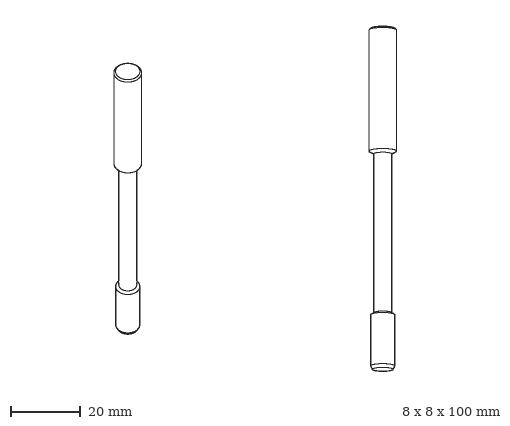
import cadquery as cq

TOTAL_LENGTH = 100.0

HEAD_DIAMETER = 7.0
HEAD_LENGTH = 16.6
LEAD_WIDTH = 0.5
LEAD_HEIGHT = 1.0
HEAD_SHOULDER_HEIGHT = 0.6

SHANK_DIAMETER = 8.0
SHANK_LENGTH = 36.8
SHANK_CHAMFER_WIDTH = 0.5
SHANK_CHAMFER_HEIGHT = 0.5
SHANK_SHOULDER_HEIGHT = 0.8
NECK_DIAMETER = 5.2

HEAD_RADIUS = HEAD_DIAMETER / 2
SHANK_RADIUS = SHANK_DIAMETER / 2
NECK_RADIUS = NECK_DIAMETER / 2
SHANK_BASE = TOTAL_LENGTH - SHANK_LENGTH


def revolve_profile(points):
    """Turn a closed (radius, height) outline around the Z axis."""
    return cq.Workplane("XZ").polyline(points).close().revolve(360, (0, 0), (0, 1))


def make_cutting_head():
    """Cylindrical head with a lead chamfer below and a conical shoulder above."""
    return revolve_profile([
        (0, 0),
        (HEAD_RADIUS - LEAD_WIDTH, 0),
        (HEAD_RADIUS, LEAD_HEIGHT),
        (HEAD_RADIUS, HEAD_LENGTH - HEAD_SHOULDER_HEIGHT),
        (NECK_RADIUS, HEAD_LENGTH),
        (0, HEAD_LENGTH),
    ])


def make_shank():
    """Neck standing on the head, widening through a cone into the shank."""
    return revolve_profile([
        (0, HEAD_LENGTH),
        (NECK_RADIUS, HEAD_LENGTH),
        (NECK_RADIUS, SHANK_BASE),
        (SHANK_RADIUS, SHANK_BASE + SHANK_SHOULDER_HEIGHT),
        (SHANK_RADIUS, TOTAL_LENGTH - SHANK_CHAMFER_HEIGHT),
        (SHANK_RADIUS - SHANK_CHAMFER_WIDTH, TOTAL_LENGTH),
        (0, TOTAL_LENGTH),
    ])


cutting_head = make_cutting_head()
shank = make_shank()

result = cq.Compound.makeCompound([cutting_head.val(), shank.val()])